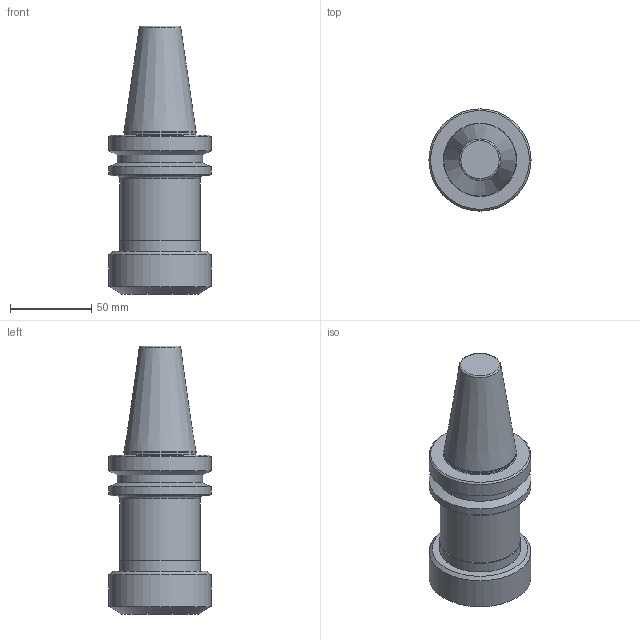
import cadquery as cq
import math


gauge_diameter = 44.45
taper_length = 65.4
taper_ratio = 7 / 24
taper_end_fillet = 1.0

neck_diameter = gauge_diameter
relief_diameter = 44.2
relief_start_below_gauge = 0.5
relief_fillet = 0.5

flange_diameter = 63.0
flange_top_below_gauge = 2.0
flange_bottom_below_gauge = 27.0
flange_chamfer = 1.0
groove_diameter = 53.0
groove_center_below_gauge = 16.6
groove_floor_width = 5.0
groove_rim_width = 9.8

body_diameter = 49.5
body_fillet = 2.0
collar_diameter = 50.0
collar_top_below_gauge = 67.0

nut_diameter = 63.0
nut_top_below_gauge = 73.7
nut_bottom_below_gauge = 100.0
nut_top_chamfer = 2.0
nut_nose_diameter = 47.0
nut_nose_angle = math.radians(30)


def cylinder_between(diameter, top_below_gauge, bottom_below_gauge):
    """Solid cylinder on the Z axis between two depths below the gauge plane."""
    height = bottom_below_gauge - top_below_gauge
    return cq.Workplane("XY", origin=(0, 0, -bottom_below_gauge)).circle(diameter / 2).extrude(height)


def revolve_profile(points):
    """Solid of revolution about Z from (radius, z) points."""
    return cq.Workplane("XZ").polyline(points).close().revolve(360, (0, 0, 0), (0, 1, 0))


def make_flare(shaft_radius, fillet_radius, face_z, direction):
    """Concave fillet between a shaft and a flat face.

    The shaft leaves the face at face_z upward (direction 1) or downward (direction -1).
    """
    shaft_end_z = face_z + direction * fillet_radius
    arc_offset = fillet_radius * (1 - math.sqrt(0.5))
    return (
        cq.Workplane("XZ")
        .moveTo(0, face_z)
        .lineTo(shaft_radius + fillet_radius, face_z)
        .threePointArc(
            (shaft_radius + arc_offset, face_z + direction * arc_offset),
            (shaft_radius, shaft_end_z),
        )
        .lineTo(0, shaft_end_z)
        .close()
        .revolve(360, (0, 0, 0), (0, 1, 0))
    )


def make_taper():
    base_radius = gauge_diameter / 2
    end_radius = base_radius - taper_ratio * taper_length / 2
    cone = revolve_profile([(0, 0), (base_radius, 0), (end_radius, taper_length), (0, taper_length)])
    return cone.faces(">Z").edges().fillet(taper_end_fillet)


def make_neck():
    """Short land below the taper, then a shallow relief that flares into the flange top."""
    land = cylinder_between(neck_diameter, 0, relief_start_below_gauge)
    relief = cylinder_between(relief_diameter, relief_start_below_gauge, flange_top_below_gauge)
    flare = make_flare(relief_diameter / 2, relief_fillet, -flange_top_below_gauge, 1)
    return land.union(relief).union(flare)


def make_flange():
    flange = cylinder_between(flange_diameter, flange_top_below_gauge, flange_bottom_below_gauge)
    flange = flange.faces("<Z or >Z").edges().chamfer(flange_chamfer)
    return flange.cut(make_gripper_groove())


def make_gripper_groove():
    """Ring with a trapezoidal section that opens outward."""
    floor_radius = groove_diameter / 2
    rim_radius = flange_diameter / 2
    floor_half_width = groove_floor_width / 2
    rim_half_width = groove_rim_width / 2
    center_z = -groove_center_below_gauge
    return revolve_profile([
        (floor_radius, center_z - floor_half_width),
        (rim_radius, center_z - rim_half_width),
        (rim_radius, center_z + rim_half_width),
        (floor_radius, center_z + floor_half_width),
    ])


def make_body():
    """Cylindrical body with a concave fillet that flares out under the flange."""
    body = cylinder_between(body_diameter, flange_bottom_below_gauge, collar_top_below_gauge)
    return body.union(make_flare(body_diameter / 2, body_fillet, -flange_bottom_below_gauge, -1))


def make_collar():
    """Collar above the nut, beveled at 45 degrees down to the body diameter."""
    collar = cylinder_between(collar_diameter, collar_top_below_gauge, nut_top_below_gauge)
    step_height = (collar_diameter - body_diameter) / 2
    return collar.faces(">Z").edges().chamfer(step_height)


def make_nut():
    nut = cylinder_between(nut_diameter, nut_top_below_gauge, nut_bottom_below_gauge)
    nut = nut.faces(">Z").edges().chamfer(nut_top_chamfer)
    nose_inset = (nut_diameter - nut_nose_diameter) / 2
    nose_height = nose_inset * math.tan(nut_nose_angle)
    return nut.faces("<Z").edges().chamfer(nose_height, nose_inset)


result = (
    make_taper()
    .union(make_neck())
    .union(make_flange())
    .union(make_body())
    .union(make_collar())
    .union(make_nut())
)